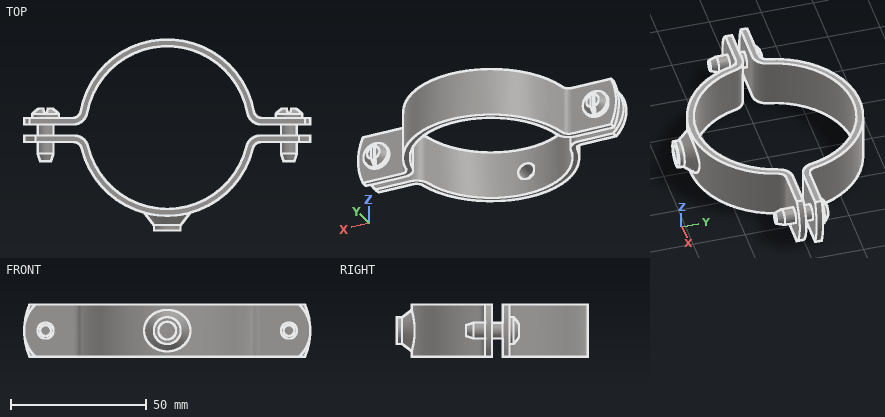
import cadquery as cq
import math


clamp_length = 106.0
band_width = 19.4
strip_thickness = 2.5
ring_outer_radius = 32.6
ring_inner_radius = ring_outer_radius - strip_thickness
bend_radius = 3.0
back_flange_face = 1.1
front_flange_face = 2.9
back_tip_drop = 2.0
front_tip_drop = 4.2

overall_depth = 70.8
boss_end = overall_depth - ring_outer_radius
boss_rim_length = 2.0
boss_rim_radius = 5.0
boss_cone_end = boss_end - boss_rim_length
boss_cone_base = 31.0
boss_cone_base_radius = 9.0
boss_bore_radius = 3.3

screw_offset = 45.0
screw_places = (-screw_offset, screw_offset)
shank_radius = 3.0
tip_radius = 2.0
tip_length = 2.9
tip_end_y = -12.5
tip_start_y = tip_end_y + tip_length
head_seat_y = back_flange_face + strip_thickness
head_radius = 5.0
head_rim_height = 1.5
head_height = 3.5
head_flat_radius = 2.5
shoulder_mid_radius = 3.8
shoulder_mid_height = 2.5
slot_depth = 1.6
slot_floor_width = 1.0
slot_top_width = 1.6


def strip(side, flange_face):
    """Half ring with a bent flange at each end; side is +1 for the back half and -1 for the front."""
    flange_back = flange_face + strip_thickness
    bend_y = flange_back + bend_radius
    bend_distance = ring_outer_radius + bend_radius
    bend_x = math.sqrt(bend_distance**2 - bend_y**2)
    bend_angle = math.asin(bend_y / bend_distance)
    tip_x = clamp_length / 2

    def on_ring(radius):
        return radius * math.cos(bend_angle), side * radius * math.sin(bend_angle)

    def on_bend(radius):
        ring_side_angle = math.pi + bend_angle
        flange_side_angle = 3 * math.pi / 2
        middle = (ring_side_angle + flange_side_angle) / 2
        return bend_x + radius * math.cos(middle), side * (bend_y + radius * math.sin(middle))

    def left(point):
        return -point[0], point[1]

    outer_start = on_ring(ring_outer_radius)
    inner_start = on_ring(ring_inner_radius)
    outer_bend = on_bend(bend_radius)
    inner_bend = on_bend(bend_radius + strip_thickness)
    return (
        cq.Workplane("XY", origin=(0, 0, -band_width / 2))
        .moveTo(tip_x, side * flange_back)
        .lineTo(bend_x, side * flange_back)
        .threePointArc(outer_bend, outer_start)
        .threePointArc((0, side * ring_outer_radius), left(outer_start))
        .threePointArc(left(outer_bend), (-bend_x, side * flange_back))
        .lineTo(-tip_x, side * flange_back)
        .lineTo(-tip_x, side * flange_face)
        .lineTo(-bend_x, side * flange_face)
        .threePointArc(left(inner_bend), left(inner_start))
        .threePointArc((0, side * ring_inner_radius), inner_start)
        .threePointArc(inner_bend, (bend_x, side * flange_face))
        .lineTo(tip_x, side * flange_face)
        .close()
        .extrude(band_width)
    )


def rounded_tips(tip_drop):
    """Block as long and wide as the clamp, rounded at both ends, used to trim the flange tips."""
    tip_x = clamp_length / 2
    corner_x = tip_x - tip_drop
    half_width = band_width / 2
    return (
        cq.Workplane("XZ")
        .moveTo(-corner_x, -half_width)
        .lineTo(corner_x, -half_width)
        .threePointArc((tip_x, 0), (corner_x, half_width))
        .lineTo(-corner_x, half_width)
        .threePointArc((-tip_x, 0), (-corner_x, -half_width))
        .close()
        .extrude(overall_depth, both=True)
    )


def screw_holes():
    """Cylinders through both flanges, one at each screw."""
    return (
        cq.Workplane("XZ")
        .pushPoints([(x, 0) for x in screw_places])
        .circle(shank_radius)
        .extrude(overall_depth, both=True)
    )


def half_clamp(side, flange_face, tip_drop):
    """Bent strip with rounded flange tips and a screw hole in each flange."""
    return strip(side, flange_face).intersect(rounded_tips(tip_drop)).cut(screw_holes())


def boss():
    """Cone rising from the ring wall and ending in a short cylindrical rim."""
    return (
        cq.Workplane("XY")
        .moveTo(0, -boss_cone_base)
        .lineTo(boss_cone_base_radius, -boss_cone_base)
        .lineTo(boss_rim_radius, -boss_cone_end)
        .lineTo(boss_rim_radius, -boss_end)
        .lineTo(0, -boss_end)
        .close()
        .revolve(360, (0, 0, 0), (0, 1, 0))
    )


def boss_bore():
    """Bore through the boss and the ring wall; the XZ plane extrudes toward -Y."""
    return cq.Workplane("XZ").circle(boss_bore_radius).extrude(boss_end)


def head_slot():
    """Tapered driver slot along Z across the screw head."""
    top_y = head_seat_y + head_height
    floor_y = top_y - slot_depth
    return (
        cq.Workplane("XY")
        .moveTo(-slot_floor_width / 2, floor_y)
        .lineTo(slot_floor_width / 2, floor_y)
        .lineTo(slot_top_width / 2, top_y)
        .lineTo(-slot_top_width / 2, top_y)
        .close()
        .extrude(head_radius, both=True)
    )


def screw(x):
    """Slotted screw along Y with a rounded, flat-topped head and a tapered tip."""
    top_y = head_seat_y + head_height
    shoulder_middle = (shoulder_mid_radius, head_seat_y + shoulder_mid_height)
    body = (
        cq.Workplane("XY")
        .moveTo(0, tip_end_y)
        .lineTo(tip_radius, tip_end_y)
        .lineTo(shank_radius, tip_start_y)
        .lineTo(shank_radius, head_seat_y)
        .lineTo(head_radius, head_seat_y)
        .lineTo(head_radius, head_seat_y + head_rim_height)
        .threePointArc(shoulder_middle, (head_flat_radius, top_y))
        .lineTo(0, top_y)
        .close()
        .revolve(360, (0, 0, 0), (0, 1, 0))
    )
    return body.cut(head_slot()).translate((x, 0, 0))


back_clamp = half_clamp(1, back_flange_face, back_tip_drop)
front_clamp = half_clamp(-1, front_flange_face, front_tip_drop).union(boss()).cut(boss_bore())
screws = [screw(x) for x in screw_places]

result = cq.Compound.makeCompound(
    [back_clamp.val(), front_clamp.val(), *[item.val() for item in screws]]
)